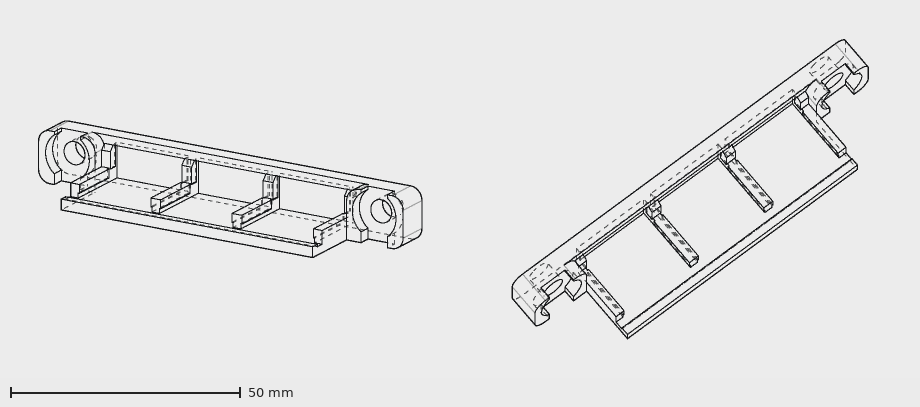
import cadquery as cq

length = 92.8
depth = 22.3
height = 12.2

end_depth = 8.0
wall_depth = 4.0
corner_radius = 2.9
inner_corner_radius = 3.2
tray_length = 64.0
end_length = (length - tray_length) / 2

hole_diameter = 5.3
hole_spacing = 78.1
hole_height = 7.0
seat_diameter = 11.1
seat_slot_width = 6.7
seat_floor_depth = 5.0

floor_thickness = 1.95
lip_height = 2.5
lip_width = 1.95

rail_height = 2.0
recess_back = 1.95

rib_count = 4
rib_spacing = 20.7
rib_width = 2.5
web_width = 1.95
rib_height = 5.1
rib_end_depth = 18.3
upright_depth = 5.2
base_clearance = 1.1
thick_rib_start = 5.85
thick_upright_bottom = 4.9


def block(x_center, width, front, back, bottom, top):
    """Box given by its width and its depths behind the back face."""
    return (
        cq.Workplane("XY")
        .box(width, front - back, top - bottom, centered=(True, False, False))
        .translate((x_center, -front, bottom))
    )


def make_wall():
    wall = block(0, length, wall_depth, 0, 0, height)
    return wall.edges("|Y").fillet(corner_radius)


def make_end(side):
    """End pad with three rounded corners; the lower inner corner meets the tray."""
    end_x = side * (length - end_length) / 2
    outer = "<X" if side < 0 else ">X"
    pad = block(end_x, end_length, end_depth, 0, 0, height)
    pad = pad.faces(outer).edges("|Y").fillet(corner_radius)
    inner_block = block(end_x - side * end_length / 4, end_length / 2, end_depth, wall_depth, 0, height)
    inner = ">X" if side < 0 else "<X"
    rounded = inner_block.faces(inner).edges("|Y").edges(">Z").fillet(inner_corner_radius)
    return pad.cut(inner_block).union(rounded)


def make_seat_cutter(x):
    """Through hole, round seat and vertical slot for one screw."""
    def cylinder(diameter, start, reach):
        return (
            cq.Workplane("XZ", origin=(x, -start, hole_height))
            .circle(diameter / 2)
            .extrude(reach - start)
        )

    hole = cylinder(hole_diameter, 0, end_depth)
    seat = cylinder(seat_diameter, seat_floor_depth, end_depth)
    slot = block(x, seat_slot_width, end_depth, seat_floor_depth, 0, height)
    return hole.union(seat).union(slot)


def make_tray():
    floor = block(0, tray_length, depth, 0, 0, floor_thickness)
    lip = block(0, tray_length, depth, depth - lip_width, 0, lip_height)
    return floor.union(lip)


def make_upright(x, width, back, bottom):
    """Post against the wall, bevelled at 45 degrees down from the top rail."""
    top = height - rail_height
    bevel = upright_depth - wall_depth
    return (
        cq.Workplane("YZ", origin=(x - width / 2, 0, 0))
        .moveTo(-back, bottom)
        .lineTo(-upright_depth, bottom)
        .lineTo(-upright_depth, top - bevel)
        .lineTo(-wall_depth, top)
        .lineTo(-back, top)
        .close()
        .extrude(width)
    )


def make_rib(x):
    """L-shaped rib, trimmed flush with the sides of the tray."""
    web = make_upright(x, web_width, recess_back, 0)
    web = web.union(block(x, web_width, rib_end_depth, recess_back, 0, rib_height))
    thick_upright = make_upright(x, rib_width, recess_back + base_clearance, thick_upright_bottom)
    thick_rib_bottom = floor_thickness + base_clearance
    thick_rib = block(x, rib_width, rib_end_depth, thick_rib_start, thick_rib_bottom, rib_height)
    tray_space = block(0, tray_length, depth, 0, 0, height)
    return web.union(thick_upright).union(thick_rib).intersect(tray_space)


recess = block(0, tray_length, wall_depth, recess_back, floor_thickness, height - rail_height)
result = make_wall().cut(recess).union(make_tray())

for side in (-1, 1):
    result = result.union(make_end(side)).cut(make_seat_cutter(side * hole_spacing / 2))

for index in range(rib_count):
    rib_x = (index - (rib_count - 1) / 2) * rib_spacing
    result = result.union(make_rib(rib_x))